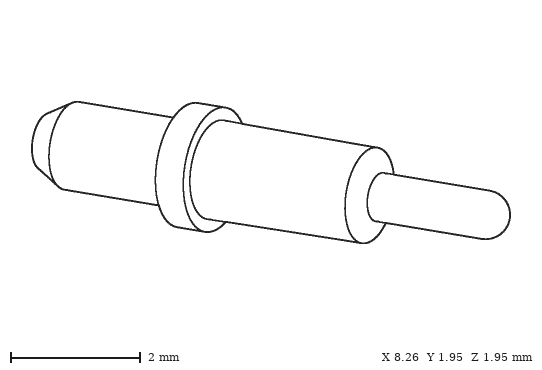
import cadquery as cq
import math

overall_length = 8.26
tail_taper_length = 0.45
flange_start = 2.53
flange_thickness = 0.5
barrel_length = 2.77
shoulder_length = 0.18

tail_tip_diameter = 0.9
tail_diameter = 1.38
flange_diameter = 1.95
barrel_base_diameter = 1.55
barrel_end_diameter = 1.5
plunger_diameter = 0.76

tail_tip_radius = tail_tip_diameter / 2
tail_radius = tail_diameter / 2
flange_radius = flange_diameter / 2
barrel_base_radius = barrel_base_diameter / 2
barrel_end_radius = barrel_end_diameter / 2
plunger_radius = plunger_diameter / 2

flange_end = flange_start + flange_thickness
barrel_end = flange_end + barrel_length
shoulder_end = barrel_end + shoulder_length
dome_center = overall_length - plunger_radius

dome_mid_offset = plunger_radius * math.sqrt(0.5)


def turned_pin():
    """Half profile in the XZ plane, revolved about the X axis."""
    profile = (
        cq.Workplane("XZ")
        .moveTo(0, 0)
        .lineTo(0, tail_tip_radius)
        .lineTo(tail_taper_length, tail_radius)
        .lineTo(flange_start, tail_radius)
        .lineTo(flange_start, flange_radius)
        .lineTo(flange_end, flange_radius)
        .lineTo(flange_end, barrel_base_radius)
        .lineTo(barrel_end, barrel_end_radius)
        .lineTo(shoulder_end, plunger_radius)
        .lineTo(dome_center, plunger_radius)
        .threePointArc((dome_center + dome_mid_offset, dome_mid_offset), (overall_length, 0))
        .close()
    )
    return profile.revolve(360, (0, 0, 0), (1, 0, 0))


result = turned_pin()